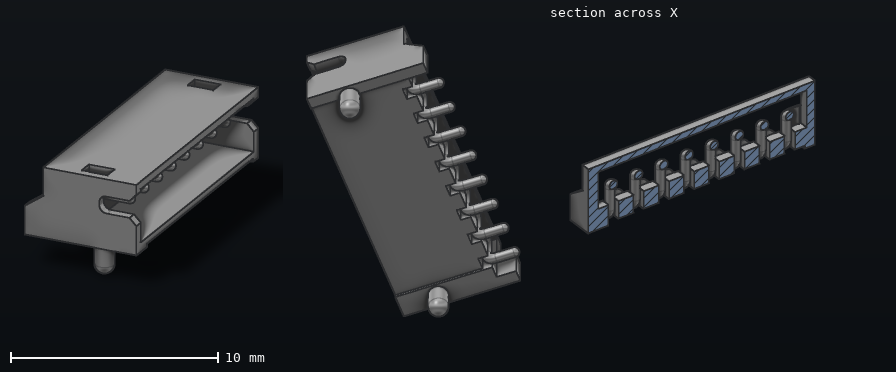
import cadquery as cq
import math


pin_count = 8
pin_pitch = 1.5
pin_positions = [(i - (pin_count - 1) / 2) * pin_pitch for i in range(pin_count)]
pin_diameter = 0.5
pin_radius = pin_diameter / 2
tail_bend_radius = 0.5
contact_bend_radius = 0.27
tail_straight_end = 1.18
tail_height = pin_radius
contact_height = 2.23
contact_tip = 5.69

housing_width = 13.5
housing_height = 3.7
housing_back = 1.5
housing_front = 6.5
side_wall = 0.5
roof_thickness = 0.4
floor_bottom = 0.17
floor_top = 0.5
half_width = housing_width / 2
inner_half_width = half_width - side_wall
ceiling = housing_height - roof_thickness

ear_back = 0.5
ear_thickness = 0.6
ear_back_height = 1.5
ear_top_height = 2.2
foot_inner = half_width - ear_thickness

recess_depth = 0.5
rear_wall_face = housing_back + recess_depth
comb_top = 1.2
pin_slot_width = 0.6

window_back = 3.33
window_front = 4.71
window_inner = 5.45
cavity_back = window_back

side_slot_back = 4.5
side_slot_bottom = 1.91
side_slot_top = 2.8
side_slot_corner = 0.4
mouth_chamfer = 0.37

post_diameter = 1.0
post_radius = post_diameter / 2
post_length = 1.5
post_x = side_slot_back
post_y = foot_inner


def box(x_range, y_range, z_range):
    """Box spanning the given (low, high) limits on each axis."""
    sizes = [high - low for low, high in (x_range, y_range, z_range)]
    corner = (x_range[0], y_range[0], z_range[0])
    return cq.Workplane("XY").box(*sizes, centered=False).translate(corner)


def housing_blank():
    """Side profile with sloped ears, extruded over the full width."""
    profile = [
        (ear_back, 0),
        (housing_front, 0),
        (housing_front, housing_height),
        (housing_back, housing_height),
        (housing_back, ear_top_height),
        (ear_back, ear_back_height),
    ]
    return cq.Workplane("XZ").polyline(profile).close().extrude(half_width, both=True)


def ear_gap():
    """Space between the ears, behind the rear wall."""
    return box((ear_back, housing_back), (-foot_inner, foot_inner), (0, housing_height))


def underside_gap():
    """Clearance below the floor; the -Y foot is wider and reaches the first pin slot."""
    wide_foot_inner = pin_positions[0] - pin_slot_width / 2
    return box((ear_back, housing_front), (wide_foot_inner, foot_inner), (0, floor_bottom))


def rear_recess():
    """Pocket above the comb; its -Y side lines up with the ear, its +Y side with the cavity."""
    return box((housing_back, rear_wall_face), (-foot_inner, inner_half_width), (comb_top, ceiling))


def pin_slot(y):
    """Slot in the comb that clears the upright part of one pin."""
    half_slot = pin_slot_width / 2
    return box((housing_back, rear_wall_face), (y - half_slot, y + half_slot), (floor_bottom, comb_top))


def mating_cavity():
    """Cavity that receives the plug, open at the front."""
    y_range = (-inner_half_width, inner_half_width)
    return box((cavity_back, housing_front), y_range, (floor_top, ceiling))


def latch_windows():
    """Pair of rectangular windows through the roof."""
    window = box((window_back, window_front), (window_inner, inner_half_width), (ceiling, housing_height))
    return window.union(window.mirror("XZ"))


def side_slots():
    """Round-cornered slot with a flared mouth, through both side walls."""
    flare_start = housing_front - mouth_chamfer
    return (
        cq.Workplane("XZ")
        .moveTo(side_slot_back + side_slot_corner, side_slot_bottom)
        .lineTo(flare_start, side_slot_bottom)
        .lineTo(housing_front, side_slot_bottom - mouth_chamfer)
        .lineTo(housing_front, side_slot_top + mouth_chamfer)
        .lineTo(flare_start, side_slot_top)
        .lineTo(side_slot_back + side_slot_corner, side_slot_top)
        .radiusArc((side_slot_back, side_slot_top - side_slot_corner), -side_slot_corner)
        .lineTo(side_slot_back, side_slot_bottom + side_slot_corner)
        .radiusArc((side_slot_back + side_slot_corner, side_slot_bottom), -side_slot_corner)
        .close()
        .extrude(half_width, both=True)
    )


def locating_post(side):
    """Round-ended post below one side wall."""
    shank_bottom = post_radius - post_length
    shank = cq.Workplane("XY").circle(post_radius).extrude(shank_bottom)
    tip = cq.Workplane("XY").sphere(post_radius).translate((0, 0, shank_bottom))
    return shank.union(tip).translate((post_x, side * post_y, 0))


def contact_pin():
    """Double-bent round pin with hemispherical ends, at Y = 0."""
    upright_x = tail_straight_end + tail_bend_radius
    upright_bottom = tail_height + tail_bend_radius
    upright_top = contact_height - contact_bend_radius
    contact_start = upright_x + contact_bend_radius
    contact_end = contact_tip - pin_radius
    diagonal = math.sqrt(0.5)
    tail_bend_mid = (
        tail_straight_end + tail_bend_radius * diagonal,
        upright_bottom - tail_bend_radius * diagonal,
    )
    contact_bend_mid = (
        contact_start - contact_bend_radius * diagonal,
        upright_top + contact_bend_radius * diagonal,
    )
    path = (
        cq.Workplane("XZ")
        .moveTo(pin_radius, tail_height)
        .lineTo(tail_straight_end, tail_height)
        .threePointArc(tail_bend_mid, (upright_x, upright_bottom))
        .lineTo(upright_x, upright_top)
        .threePointArc(contact_bend_mid, (contact_start, contact_height))
        .lineTo(contact_end, contact_height)
    )
    wire = cq.Workplane("YZ", origin=(pin_radius, 0, tail_height)).circle(pin_radius).sweep(path)
    ball = cq.Workplane("XY").sphere(pin_radius)
    tail_end = ball.translate((pin_radius, 0, tail_height))
    contact_tip_end = ball.translate((contact_end, 0, contact_height))
    return wire.union(tail_end).union(contact_tip_end)


housing = housing_blank().cut(ear_gap()).cut(underside_gap()).cut(rear_recess())
housing = housing.cut(mating_cavity()).cut(latch_windows()).cut(side_slots())
for y in pin_positions:
    housing = housing.cut(pin_slot(y))

result = housing
for side in (-1, 1):
    result = result.union(locating_post(side))

pin = contact_pin()
for y in pin_positions:
    result = result.union(pin.translate((0, y, 0)))